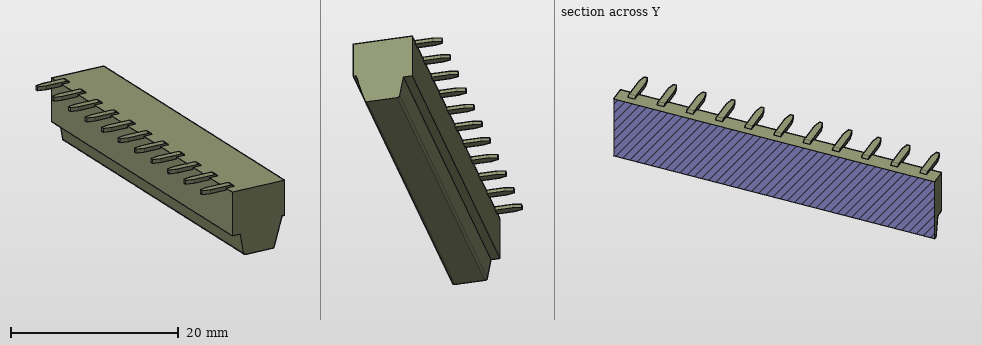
import cadquery as cq

pin_count = 11
pitch = 3.81
row_length = pin_count * pitch

housing_depth = 7.3
housing_height = 8.45
front_wall_height = 5.65
back_wall_height = 4.55
front_step = 1.1
back_step = 0.35
foot_front = 1.6
foot_back = 5.8
foot_edge_radius = 0.3

overall_depth = 10.5
overall_height = 8.7
pin_width = 0.9
pin_thickness = 0.5
pin_rise = overall_height - housing_height
pin_reach = overall_depth - housing_depth
pin_root_depth = 1.15
pin_bend_radius = 0.4
pin_taper_length = 1.0
pin_tip_width = 0.4


def make_housing():
    """Body with stepped walls above a tapered foot, extruded along the row."""
    side_profile = [
        (0, 0),
        (0, -front_wall_height),
        (front_step, -front_wall_height),
        (foot_front, -housing_height),
        (foot_back, -housing_height),
        (housing_depth - back_step, -back_wall_height),
        (housing_depth, -back_wall_height),
        (housing_depth, 0),
    ]
    housing = cq.Workplane("YZ").polyline(side_profile).close().extrude(row_length / 2, both=True)
    return housing.faces("<Z").edges("|X").fillet(foot_edge_radius)


def make_pin():
    """Flat pin with a rounded root on the housing and a tapered free end."""
    half_width = pin_width / 2
    half_tip = pin_tip_width / 2
    taper_start = pin_taper_length - pin_reach
    outline = [
        (-half_width, pin_root_depth),
        (-half_width, taper_start),
        (-half_tip, -pin_reach),
        (half_tip, -pin_reach),
        (half_width, taper_start),
        (half_width, pin_root_depth),
    ]
    underside = pin_rise - pin_thickness
    blade = cq.Workplane("XY").workplane(offset=underside).polyline(outline).close().extrude(pin_thickness)
    return blade.edges("|X and >Y and >Z").fillet(pin_bend_radius)


result = make_housing()
pin = make_pin()
for index in range(pin_count):
    pin_x = (index - (pin_count - 1) / 2) * pitch
    result = result.union(pin.translate((pin_x, 0, 0)))